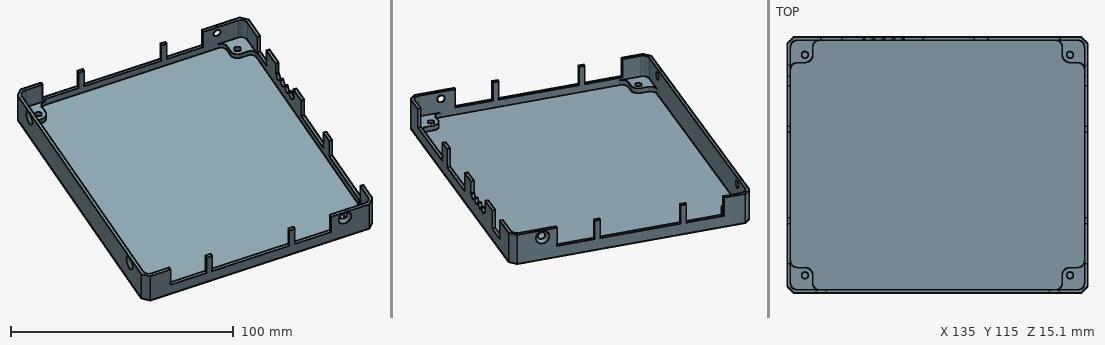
import cadquery as cq

LENGTH = 135.0
WIDTH = 115.0
HEIGHT = 15.1
FLOOR = 2.0
WALL = 1.5
OUTER_CHAMFER = 3.0
INNER_RADIUS = 3.0

PAD_TOP = 4.5
PAD_X = 56.0
PAD_Y = 46.0
PAD_CORNER_RADIUS = 3.5
PAD_FLARE_RADIUS = 3.0
SCREW_X = 59.5
SCREW_Y = 49.5
SCREW_DIAMETER = 3.0

WALL_HOLE_Z = 11.55
WALL_HOLE_DIAMETER = 3.4
COUNTERSINK_DIAMETER = 6.4
FRONT_HOLE_X = 52.3
SIDE_HOLE_Y = 42.4

NOTCH_BOTTOM = 5.7
SIDE_NOTCHES = [(-44.3, -26.3), (-23.6, 14.8), (17.5, 35.5)]
BACK_NOTCHES = [(-52.5, -42.9), (-6.5, 16.4), (22.6, 54.9)]

CABLE_CENTER_X = -24.1
CABLE_WIDTH = 18.5
CABLE_BOTTOM = 9.0
SEAT_COUNT = 4
SEAT_PITCH = 4.5
SEAT_DIAMETER = 3.5

CUT_MARGIN = 1.0
INNER_X = LENGTH / 2 - WALL
INNER_Y = WIDTH / 2 - WALL


def box_between(x_range, y_range, z_range):
    """Axis-aligned box spanning the given ranges."""
    size = [end - start for start, end in (x_range, y_range, z_range)]
    corner = (x_range[0], y_range[0], z_range[0])
    return cq.Workplane("XY").box(*size, centered=False).translate(corner)


def make_tray():
    """Open tray with chamfered vertical corners."""
    body = cq.Workplane("XY").rect(LENGTH, WIDTH).extrude(HEIGHT)
    body = body.edges("|Z").chamfer(OUTER_CHAMFER)
    return body.cut(make_cavity())


def make_cavity():
    """Space inside the walls, above the floor."""
    cavity = cq.Workplane("XY").workplane(offset=FLOOR).rect(2 * INNER_X, 2 * INNER_Y)
    return cavity.extrude(HEIGHT - FLOOR).edges("|Z").fillet(INNER_RADIUS)


def slab_above_floor(size_x, size_y):
    """Centred slab as thick as the pads, resting on the floor."""
    return cq.Workplane("XY").workplane(offset=FLOOR).rect(size_x, size_y).extrude(PAD_TOP - FLOOR)


def make_pads():
    """Four corner pads with blind screw holes, their sides flared into the walls."""
    between_rows = slab_above_floor(2 * INNER_X, 2 * PAD_Y).edges("|Z").fillet(PAD_FLARE_RADIUS)
    between_columns = slab_above_floor(2 * PAD_X, 2 * INNER_Y).edges("|Z").fillet(PAD_FLARE_RADIUS)
    clear_space = between_rows.union(between_columns)
    pad_corners = cq.selectors.BoxSelector(
        (-PAD_X - CUT_MARGIN, -PAD_Y - CUT_MARGIN, FLOOR),
        (PAD_X + CUT_MARGIN, PAD_Y + CUT_MARGIN, PAD_TOP),
    )
    upright = cq.selectors.ParallelDirSelector(cq.Vector(0, 0, 1))
    clear_space = clear_space.edges(pad_corners & upright).fillet(PAD_CORNER_RADIUS)
    pads = slab_above_floor(2 * INNER_X, 2 * INNER_Y).cut(clear_space)
    screws = (
        cq.Workplane("XY")
        .workplane(offset=FLOOR)
        .rect(2 * SCREW_X, 2 * SCREW_Y, forConstruction=True)
        .vertices()
        .circle(SCREW_DIAMETER / 2)
        .extrude(PAD_TOP - FLOOR)
    )
    return pads.cut(screws).intersect(make_cavity())


def wall_hole(point, inward):
    """Cutter for a hole whose countersink narrows across the full wall thickness."""
    origin = cq.Vector(*point)
    direction = cq.Vector(*inward)
    cone = cq.Solid.makeCone(COUNTERSINK_DIAMETER / 2, WALL_HOLE_DIAMETER / 2, WALL, origin, direction)
    return cq.Workplane(cone)


def cut_wall_holes(body):
    """Countersunk holes in the front wall and both side walls."""
    for side in (-1, 1):
        front_point = (side * FRONT_HOLE_X, -WIDTH / 2, WALL_HOLE_Z)
        side_point = (side * LENGTH / 2, SIDE_HOLE_Y, WALL_HOLE_Z)
        body = body.cut(wall_hole(front_point, (0, 1, 0)))
        body = body.cut(wall_hole(side_point, (-side, 0, 0)))
    return body


def cut_notches(body):
    """Rectangular openings through both side walls and the back wall."""
    rise = (NOTCH_BOTTOM, HEIGHT + CUT_MARGIN)
    across = (-LENGTH / 2 - CUT_MARGIN, LENGTH / 2 + CUT_MARGIN)
    for notch in SIDE_NOTCHES:
        body = body.cut(box_between(across, notch, rise))
    for notch in BACK_NOTCHES:
        body = body.cut(box_between(notch, (INNER_Y, WIDTH / 2), rise))
    return body


def cut_cable_opening(body):
    """Opening in the back wall whose bottom edge carries half-round cable seats."""
    span = (CABLE_CENTER_X - CABLE_WIDTH / 2, CABLE_CENTER_X + CABLE_WIDTH / 2)
    body = body.cut(box_between(span, (INNER_Y, WIDTH / 2), (CABLE_BOTTOM, HEIGHT + CUT_MARGIN)))
    for index in range(SEAT_COUNT):
        seat_x = CABLE_CENTER_X + (index - (SEAT_COUNT - 1) / 2) * SEAT_PITCH
        start = cq.Vector(seat_x, INNER_Y, CABLE_BOTTOM)
        seat = cq.Solid.makeCylinder(SEAT_DIAMETER / 2, WALL, start, cq.Vector(0, 1, 0))
        body = body.cut(cq.Workplane(seat))
    return body


result = make_tray().union(make_pads())
result = cut_wall_holes(result)
result = cut_notches(result)
result = cut_cable_opening(result)